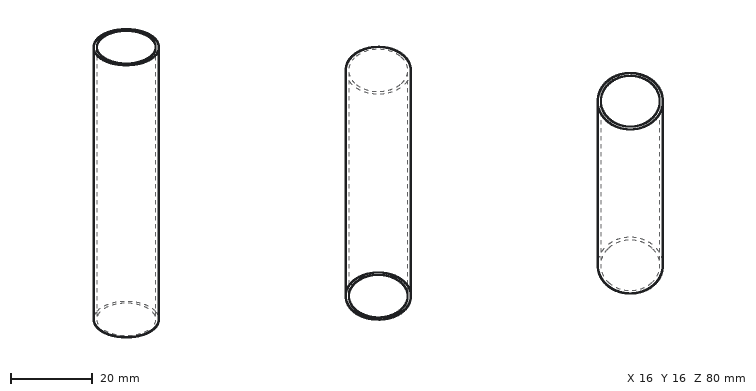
import cadquery as cq

length = 80.0
outer_diameter = 16.0
wall_thickness = 0.8
inner_diameter = outer_diameter - 2 * wall_thickness

result = (
    cq.Workplane("XY")
    .circle(outer_diameter / 2)
    .circle(inner_diameter / 2)
    .extrude(length)
)